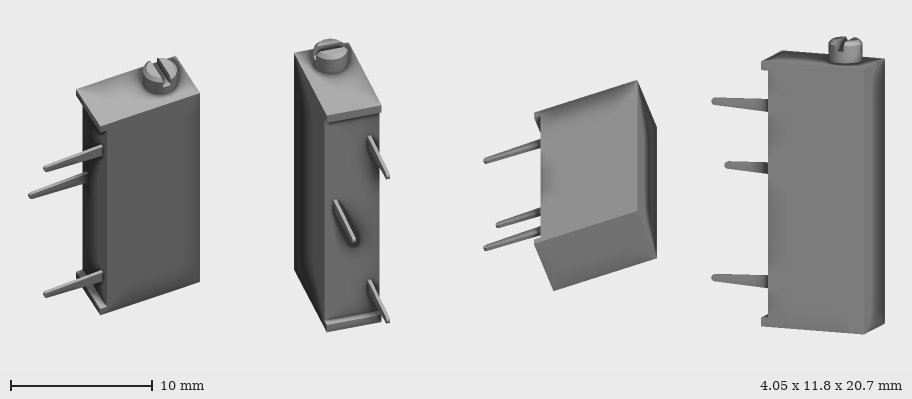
import cadquery as cq

TOTAL_DEPTH = 11.8
TOTAL_HEIGHT = 20.7

HOUSING_WIDTH = 4.05
HOUSING_DEPTH = 7.76
HOUSING_HEIGHT = 19.09
LIP_DEPTH = 0.52
LIP_HEIGHT = 0.65

SCREW_SETBACK = 2.17
HEAD_DIAMETER = 2.4
HEAD_CHAMFER = 0.25
NECK_DIAMETER = 1.35
NECK_HEIGHT = 0.12
HEAD_HEIGHT = TOTAL_HEIGHT - HOUSING_HEIGHT - NECK_HEIGHT
SLOT_WIDTH = 0.62
SLOT_DEPTH = 0.77

PIN_THICKNESS = 0.25
PIN_ROOT_HEIGHT = 0.91
PIN_TIP_RADIUS = 0.25
PIN_OFFSET = 1.26
TOP_PIN_Z = HOUSING_HEIGHT - 3.31
MIDDLE_PIN_Z = TOP_PIN_Z - 5.07
BOTTOM_PIN_Z = MIDDLE_PIN_Z - 7.62
PIN_PLACES = [
    (PIN_OFFSET, TOP_PIN_Z),
    (-PIN_OFFSET, MIDDLE_PIN_Z),
    (PIN_OFFSET, BOTTOM_PIN_Z),
]

PIN_FACE_Y = LIP_DEPTH
PIN_TIP_Y = HOUSING_DEPTH - TOTAL_DEPTH
SCREW_Y = HOUSING_DEPTH - SCREW_SETBACK


def make_housing():
    """Block whose front face is recessed between the two lips."""
    block = cq.Workplane("XY").box(
        HOUSING_WIDTH, HOUSING_DEPTH, HOUSING_HEIGHT, centered=(True, False, False)
    )
    recess = (
        cq.Workplane("XY")
        .box(HOUSING_WIDTH, LIP_DEPTH, HOUSING_HEIGHT - 2 * LIP_HEIGHT, centered=(True, False, False))
        .translate((0, 0, LIP_HEIGHT))
    )
    return block.cut(recess)


def make_screw():
    """Chamfered head on a short neck, with a slot along X."""
    neck = cq.Workplane("XY").circle(NECK_DIAMETER / 2).extrude(NECK_HEIGHT)
    head = (
        cq.Workplane("XY")
        .workplane(offset=NECK_HEIGHT)
        .circle(HEAD_DIAMETER / 2)
        .extrude(HEAD_HEIGHT)
        .faces(">Z")
        .chamfer(HEAD_CHAMFER)
    )
    slot = (
        cq.Workplane("XY")
        .box(HEAD_DIAMETER, SLOT_WIDTH, SLOT_DEPTH, centered=(True, True, False))
        .translate((0, 0, NECK_HEIGHT + HEAD_HEIGHT - SLOT_DEPTH))
    )
    return neck.union(head).cut(slot).translate((0, SCREW_Y, HOUSING_HEIGHT))


def make_pin(x, z):
    """Flat pin that tapers from the recessed front face to a round tip."""
    half_root = PIN_ROOT_HEIGHT / 2
    round_start_y = PIN_TIP_Y + PIN_TIP_RADIUS
    return (
        cq.Workplane("YZ")
        .moveTo(PIN_FACE_Y, -half_root)
        .lineTo(PIN_FACE_Y, half_root)
        .lineTo(round_start_y, PIN_TIP_RADIUS)
        .threePointArc((PIN_TIP_Y, 0), (round_start_y, -PIN_TIP_RADIUS))
        .close()
        .extrude(PIN_THICKNESS / 2, both=True)
        .translate((x, 0, z))
    )


housing = make_housing()
screw = make_screw()
pins = [make_pin(x, z) for x, z in PIN_PLACES]

result = cq.Compound.makeCompound([housing.val(), screw.val(), *[pin.val() for pin in pins]])